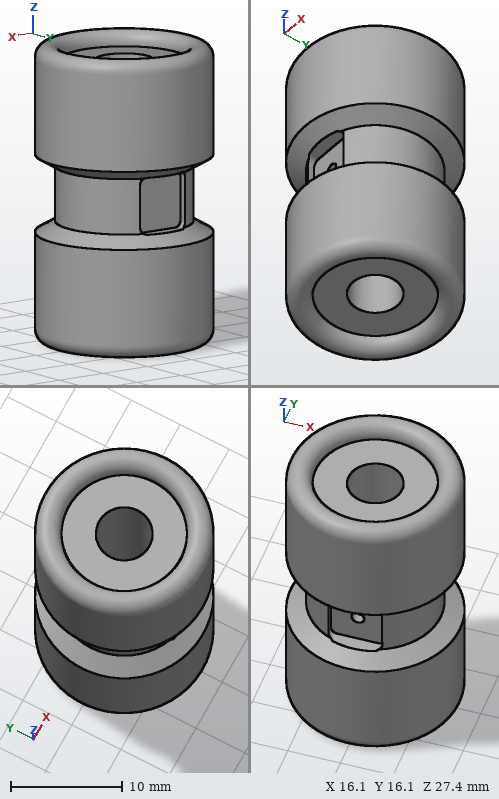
import cadquery as cq
import math

outer_diameter = 16.1
total_height = 27.4
bore_diameter = 5.1
recess_diameter = 11.3
recess_depth = 1.4
neck_diameter = 12.5
neck_height = 5.1
shoulder_angle = 30.0
pocket_width = 5.1
pocket_height = 5.25
pocket_corner_radius = 0.6
pocket_floor_distance = 5.0
pin_hole_diameter = 1.2
pin_hole_depth = 1.0

outer_radius = outer_diameter / 2
bore_radius = bore_diameter / 2
recess_radius = recess_diameter / 2
neck_radius = neck_diameter / 2
half_height = total_height / 2
half_neck = neck_height / 2
shoulder_height = (outer_radius - neck_radius) * math.tan(math.radians(shoulder_angle))
shoulder_z = half_neck + shoulder_height
rim_radius = (outer_radius - recess_radius) / 2
rim_center_radius = (outer_radius + recess_radius) / 2
rim_center_z = half_height - rim_radius
recess_floor_z = half_height - recess_depth


def make_body():
    """Bored spool with a waisted neck and a fully rounded rim at each end."""
    upper_half = (
        cq.Workplane("XZ")
        .moveTo(bore_radius, 0)
        .lineTo(neck_radius, 0)
        .lineTo(neck_radius, half_neck)
        .lineTo(outer_radius, shoulder_z)
        .lineTo(outer_radius, rim_center_z)
        .threePointArc((rim_center_radius, half_height), (recess_radius, rim_center_z))
        .lineTo(recess_radius, recess_floor_z)
        .lineTo(bore_radius, recess_floor_z)
        .close()
        .revolve(360, (0, 0, 0), (0, 1, 0))
    )
    return upper_half.union(upper_half.mirror("XY"))


def make_pocket(side):
    """Rounded rectangular cutter on the +Y (side=1) or -Y (side=-1) face of the neck."""
    pocket_depth = outer_radius - pocket_floor_distance
    return (
        cq.Workplane("XY")
        .box(pocket_width, pocket_depth, pocket_height)
        .edges("|Y")
        .fillet(pocket_corner_radius)
        .translate((0, side * (pocket_floor_distance + pocket_depth / 2), 0))
    )


def make_pin_hole():
    """Blind pin hole cutter, running inward from the -Y pocket floor."""
    return (
        cq.Workplane("XZ", origin=(0, -pocket_floor_distance, 0))
        .circle(pin_hole_diameter / 2)
        .extrude(-pin_hole_depth)
    )


result = make_body()
for pocket_side in (-1, 1):
    result = result.cut(make_pocket(pocket_side))
result = result.cut(make_pin_hole())